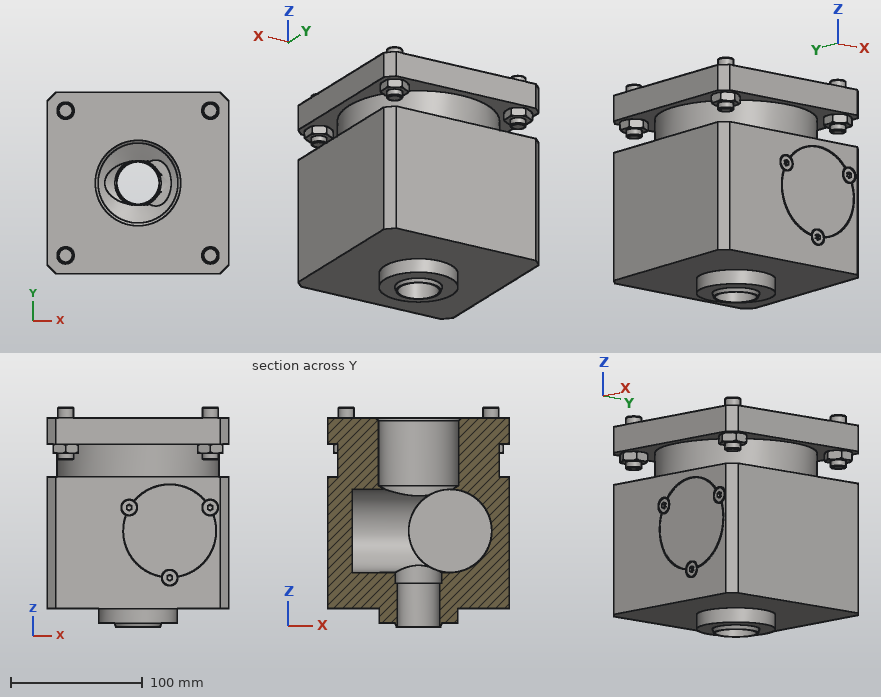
import cadquery as cq
import math

side = 138.0
corner_chamfer = 6.7
tip_height = 3.0
boss_height = 11.0
body_height = 100.0
neck_height = 24.7
plate_height = 20.0
total_height = 167.0

body_bottom = tip_height + boss_height
body_top = body_bottom + body_height
plate_bottom = body_top + neck_height
plate_top = plate_bottom + plate_height

neck_diameter = 123.2
boss_diameter = 60.0

tip_base_diameter = 36.0
tip_end_diameter = 33.7

inlet_diameter = 60.6
inlet_chamfer = 2.2
throat_diameter = 33.4
seat_diameter = 35.0
outlet_diameter = 32.0
outlet_shoulder = 33.4
funnel_slope = 30
side_offset = 24.0
chamber_diameter = 63.0
passage_center = 73.0
funnel_bottom = 99.5
funnel_rise = (inlet_diameter - throat_diameter) / 2 * math.tan(math.radians(funnel_slope))
funnel_top = funnel_bottom + funnel_rise
cross_reach = 50.1

stud_pitch = 109.9
stud_diameter = 12.0
stud_tip_diameter = 10.2
stud_chamfer = (stud_diameter - stud_tip_diameter) / 2
stud_hole = 13.0
stud_bottom = 127.0
nut_flats = 19.0
nut_corners = nut_flats / math.cos(math.pi / 6)
nut_height = 6.7
nut_chamfer = 0.8

cover_diameter = 71.0
cover_gap = 0.3
gap_depth = 1.0
screw_count = 3
screw_recess = 12.4
screw_head = 11.5
hex_flats = 4.0
hex_corners = hex_flats / math.cos(math.pi / 6)
hex_depth = 2.5
hex_tip_depth = 1.2


def square_block(bottom, height):
    """Square block with chamfered vertical corners."""
    block = cq.Workplane("XY").workplane(offset=bottom).rect(side, side).extrude(height)
    return block.edges("|Z").chamfer(corner_chamfer)


def cylinder(diameter, bottom, top):
    """Vertical cylinder on the main axis."""
    return cq.Workplane("XY").workplane(offset=bottom).circle(diameter / 2).extrude(top - bottom)


def make_housing():
    """Body, neck, flange, boss and outlet tip, all solid."""
    tip = cq.Workplane(cq.Solid.makeCone(tip_end_diameter / 2, tip_base_diameter / 2, tip_height))
    housing = square_block(body_bottom, body_height)
    housing = housing.union(cylinder(neck_diameter, body_top, plate_bottom))
    housing = housing.union(square_block(plate_bottom, plate_height))
    return housing.union(cylinder(boss_diameter, tip_height, body_bottom)).union(tip)


def make_main_passage():
    """Inlet bore, conical funnel and throat, then the outlet seat and its narrower bore."""
    inlet = inlet_diameter / 2
    throat = throat_diameter / 2
    seat = seat_diameter / 2
    outlet = outlet_diameter / 2
    profile = (
        cq.Workplane("XZ")
        .lineTo(outlet, 0)
        .lineTo(outlet, outlet_shoulder)
        .lineTo(seat, outlet_shoulder)
        .lineTo(seat, passage_center)
        .lineTo(throat, passage_center)
        .lineTo(throat, funnel_bottom)
        .lineTo(inlet, funnel_top)
        .lineTo(inlet, plate_top - inlet_chamfer)
        .lineTo(inlet + inlet_chamfer, plate_top)
        .lineTo(0, plate_top)
        .close()
    )
    return profile.revolve(360, (0, 0, 0), (0, 1, 0))


def make_cross_passages():
    """Two equal horizontal bores that meet under the funnel."""
    along_x = (
        cq.Workplane("YZ", origin=(-cross_reach, 0, passage_center))
        .circle(chamber_diameter / 2)
        .extrude(cross_reach + side_offset)
    )
    along_y = (
        cq.Workplane("XZ", origin=(side_offset, 0, passage_center))
        .circle(chamber_diameter / 2)
        .extrude(cross_reach, both=True)
    )
    return along_x.union(along_y)


def make_stud():
    """Stud with chamfered ends and the hexagon nut under the flange."""
    stud = cylinder(stud_diameter, stud_bottom, total_height).edges("%CIRCLE").chamfer(stud_chamfer)
    nut_plane = cq.Workplane("XY").workplane(offset=plate_bottom - nut_height)
    nut = nut_plane.transformed(rotate=(0, 0, 90)).polygon(6, nut_corners).extrude(nut_height)
    envelope = nut_plane.circle(nut_corners / 2).extrude(nut_height)
    envelope = envelope.edges("%CIRCLE").chamfer(nut_chamfer)
    return stud.union(nut.intersect(envelope))


def cover_plane():
    """Sketch plane on the -Y face, centred on the cover."""
    return cq.Workplane("XZ", origin=(side_offset, -side / 2, passage_center))


def make_screw_cut():
    """Gap around one flush screw head, and its hexagon socket with a conical bottom."""
    gap = cover_plane().circle(screw_recess / 2).circle(screw_head / 2).extrude(-gap_depth)
    socket = cover_plane().transformed(rotate=(0, 0, 90)).polygon(6, hex_corners).extrude(-hex_depth)
    tip_base = cq.Vector(side_offset, hex_depth - side / 2, passage_center)
    tip = cq.Solid.makeCone(hex_flats / 2, 0, hex_tip_depth, pnt=tip_base, dir=cq.Vector(0, 1, 0))
    return gap.union(socket.union(cq.Workplane(tip)))


def make_cover_cut():
    """Thin gap around the cover, interrupted by the screw heads, with all screw cuts."""
    cover_radius = cover_diameter / 2
    cut = cover_plane().circle(cover_radius).circle(cover_radius - cover_gap).extrude(-gap_depth)
    head = cover_plane().circle(screw_head / 2).extrude(-gap_depth)
    screw_cut = make_screw_cut()
    for index in range(screw_count):
        angle = 2 * math.pi * index / screw_count - math.pi / 2
        shift = (cover_radius * math.cos(angle), 0, cover_radius * math.sin(angle))
        cut = cut.cut(head.translate(shift)).union(screw_cut.translate(shift))
    return cut


housing = make_housing().cut(make_cross_passages()).cut(make_main_passage()).cut(make_cover_cut())

stud = make_stud()
hole = cylinder(stud_hole, plate_bottom, plate_top)
for x_sign in (-1, 1):
    for y_sign in (-1, 1):
        place = (x_sign * stud_pitch / 2, y_sign * stud_pitch / 2, 0)
        housing = housing.cut(hole.translate(place)).union(stud.translate(place))

result = housing